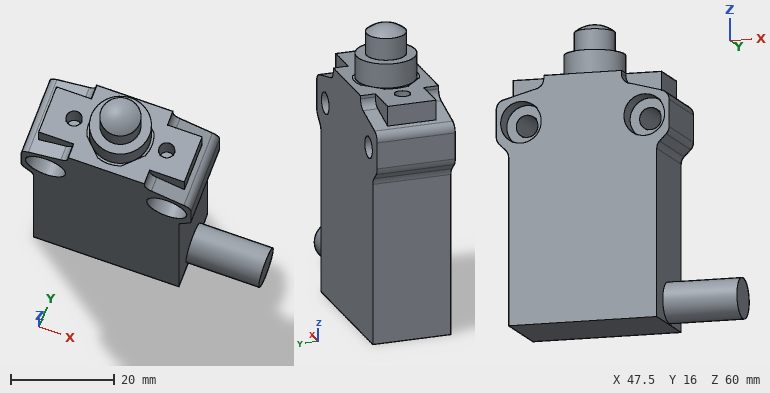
import cadquery as cq
import math


total_height = 60.0
block_width = 30.0
depth = 16.0
block_height = 49.0
ear_span = 34.95
ear_bottom_z = 36.5
ear_slope = math.radians(15)
shoulder_root_x = 7.85
shoulder_edge_z = 44.9
corner_radius = 2.0
tab_depth = 9.95

mount_x = 12.5
mount_z = 40.0
mount_diameter = 4.4
counterbore_diameter = 8.2
counterbore_depth = 4.0
top_hole_x = 9.55
top_hole_diameter = 3.1
top_hole_depth = 5.0

bushing_diameter = 12.0
bushing_top_z = 54.0
flange_diameter = 13.0
flange_thickness = 1.0
plunger_diameter = 8.0
dome_height = 1.5

cable_diameter = 8.1
cable_z = 4.25
cable_length = 15.0


def block(width, y_size, height):
    return cq.Workplane("XY").box(width, y_size, height, centered=(True, True, False))


def make_flange():
    """Bushing flange, flush with the block top: a disc with four diagonal flats."""
    flange_plane = cq.Workplane("XY", origin=(0, 0, block_height - flange_thickness))
    disc = flange_plane.circle(flange_diameter / 2).extrude(flange_thickness)
    flats = (
        flange_plane.transformed(rotate=(0, 0, 45))
        .rect(bushing_diameter, bushing_diameter)
        .extrude(flange_thickness)
    )
    return disc.intersect(flats)


def make_eared_profile():
    """Full-depth prism with two ears, sloping shoulders and rounded corners."""
    half_block = block_width / 2
    half_ear = ear_span / 2
    ear_overhang = half_ear - half_block

    def slope_z(x):
        return shoulder_edge_z - (x - half_block) * math.tan(ear_slope)

    right_side = [
        (half_block, 0),
        (half_block, ear_bottom_z - ear_overhang),
        (half_ear, ear_bottom_z),
        (half_ear, slope_z(half_ear)),
        (shoulder_root_x, slope_z(shoulder_root_x)),
        (shoulder_root_x, block_height),
    ]
    left_side = [(-x, z) for x, z in reversed(right_side)]
    prism = (
        cq.Workplane("XZ")
        .polyline(right_side + left_side)
        .close()
        .extrude(depth / 2, both=True)
    )
    inner_edges = cq.selectors.BoxSelector(
        (-ear_span, -depth, 0.6), (ear_span, depth, block_height - 0.6)
    )
    return prism.edges("|Y").edges(inner_edges).fillet(corner_radius)


def cut_mounting_holes(body):
    """Through holes along Y, counterbored from the front (-Y) face."""
    return (
        body.faces("<Y")
        .workplane(origin=(0, -depth / 2, 0))
        .pushPoints([(-mount_x, mount_z), (mount_x, mount_z)])
        .cboreHole(mount_diameter, counterbore_diameter, counterbore_depth)
    )


def cut_top_holes(body):
    """Two blind holes and the shallow recess for the bushing flange."""
    top = cq.Workplane("XY", origin=(0, 0, block_height))
    blind_holes = (
        top.pushPoints([(-top_hole_x, 0), (top_hole_x, 0)])
        .circle(top_hole_diameter / 2)
        .extrude(-top_hole_depth)
    )
    return body.cut(blind_holes).cut(make_flange())


def make_housing():
    body = make_eared_profile().union(block(block_width, tab_depth, block_height))
    return cut_top_holes(cut_mounting_holes(body))


def make_bushing():
    """Collar on a wider flange that fills the housing recess flush with the top."""
    collar = (
        cq.Workplane("XY", origin=(0, 0, block_height))
        .circle(bushing_diameter / 2)
        .extrude(bushing_top_z - block_height)
    )
    return make_flange().union(collar)


def make_plunger():
    """Domed pin standing on the bushing, revolved about Z."""
    radius = plunger_diameter / 2
    dome_radius = (radius**2 + dome_height**2) / (2 * dome_height)
    dome_mid_x = radius / 2
    dome_mid_z = total_height - dome_radius + math.sqrt(dome_radius**2 - dome_mid_x**2)
    return (
        cq.Workplane("XZ")
        .moveTo(0, bushing_top_z)
        .lineTo(radius, bushing_top_z)
        .lineTo(radius, total_height - dome_height)
        .threePointArc((dome_mid_x, dome_mid_z), (0, total_height))
        .close()
        .revolve(360, (0, 0, 0), (0, 1, 0))
    )


def make_cable():
    """Cable stub leaving the +X side near the bottom."""
    return (
        cq.Workplane("YZ", origin=(block_width / 2, 0, cable_z))
        .circle(cable_diameter / 2)
        .extrude(cable_length)
    )


housing = make_housing()
bushing = make_bushing()
plunger = make_plunger()
cable = make_cable()

result = cq.Compound.makeCompound([housing.val(), bushing.val(), plunger.val(), cable.val()])